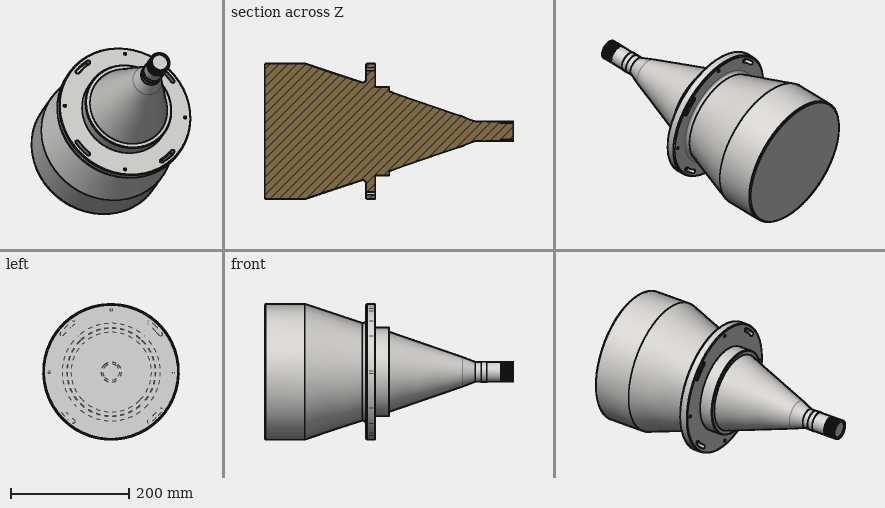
import cadquery as cq
import math


drum_diameter = 230.0
drum_radius = drum_diameter / 2
drum_length = 68.0
drum_chamfer = 2.0
neck_start = 164.5
neck_radius = 82.8
neck_fillet = 5.0

flange_front = 171.0
flange_thickness = 16.0
flange_back = flange_front + flange_thickness
flange_radius = drum_radius
flange_front_chamfer = 2.0
flange_back_chamfer = 1.3

spigot_radius = 75.0
spigot_end = 211.0
spigot_chamfer = 1.3

nozzle_radius = 67.5
nozzle_break = 334.0
nozzle_break_radius = 25.0

tail_start = 356.0
tail_radius = 17.0
tail_end = 420.0
band_start = 366.0
band_end = 375.0
band_height = 0.5

groove_start = 399.0
groove_count = 7
groove_width = 1.5
groove_pitch = 2 * groove_width
groove_depth = 3.0

bolt_circle_radius = 105.0
slot_count = 4
slot_width = 6.5
slot_sweep = 15.0
slot_first_angle = 45.0
pin_count = 4
pin_diameter = 4.0


def turned_body():
    """Revolve the half outline of the body about the X axis."""
    fillet_start = flange_front - neck_fillet
    fillet_top = neck_radius + neck_fillet
    fillet_mid = (
        fillet_start + neck_fillet * math.sin(math.pi / 4),
        fillet_top - neck_fillet * math.cos(math.pi / 4),
    )
    band_radius = tail_radius + band_height
    outline = (
        cq.Workplane("XZ")
        .moveTo(0, 0)
        .lineTo(0, drum_radius - drum_chamfer)
        .lineTo(drum_chamfer, drum_radius)
        .lineTo(drum_length, drum_radius)
        .lineTo(neck_start, neck_radius)
        .lineTo(fillet_start, neck_radius)
        .threePointArc(fillet_mid, (flange_front, fillet_top))
        .lineTo(flange_front, flange_radius - flange_front_chamfer)
        .lineTo(flange_front + flange_front_chamfer, flange_radius)
        .lineTo(flange_back - flange_back_chamfer, flange_radius)
        .lineTo(flange_back, flange_radius - flange_back_chamfer)
        .lineTo(flange_back, spigot_radius)
        .lineTo(spigot_end - spigot_chamfer, spigot_radius)
        .lineTo(spigot_end, spigot_radius - spigot_chamfer)
        .lineTo(spigot_end, nozzle_radius)
        .lineTo(nozzle_break, nozzle_break_radius)
        .lineTo(tail_start, tail_radius)
        .lineTo(band_start, tail_radius)
        .lineTo(band_start, band_radius)
        .lineTo(band_end, band_radius)
        .lineTo(band_end, tail_radius)
        .lineTo(tail_end, tail_radius)
        .lineTo(tail_end, 0)
        .close()
    )
    return outline.revolve(360, (0, 0, 0), (1, 0, 0))


def tail_grooves():
    """Rings to cut from the tail."""
    grooves = cq.Workplane("YZ")
    for index in range(groove_count):
        ring = (
            cq.Workplane("YZ", origin=(groove_start + index * groove_pitch, 0, 0))
            .circle(tail_radius + groove_depth)
            .circle(tail_radius - groove_depth)
            .extrude(groove_width)
        )
        grooves = grooves.add(ring)
    return grooves.combine()


def on_circle(radius, angle):
    """Point in the flange plane, the angle in degrees from +Y towards +Z."""
    return (radius * math.cos(math.radians(angle)), radius * math.sin(math.radians(angle)))


def curved_slot(mid_angle):
    """Round-ended slot through the flange that follows the bolt circle."""
    start_angle = mid_angle - slot_sweep / 2
    end_angle = mid_angle + slot_sweep / 2
    inner = bolt_circle_radius - slot_width / 2
    outer = bolt_circle_radius + slot_width / 2
    end_bulge = math.degrees(slot_width / 2 / bolt_circle_radius)
    return (
        cq.Workplane("YZ", origin=(flange_front, 0, 0))
        .moveTo(*on_circle(outer, start_angle))
        .threePointArc(on_circle(outer, mid_angle), on_circle(outer, end_angle))
        .threePointArc(
            on_circle(bolt_circle_radius, end_angle + end_bulge),
            on_circle(inner, end_angle),
        )
        .threePointArc(on_circle(inner, mid_angle), on_circle(inner, start_angle))
        .threePointArc(
            on_circle(bolt_circle_radius, start_angle - end_bulge),
            on_circle(outer, start_angle),
        )
        .close()
        .extrude(flange_thickness)
    )


def pin_holes():
    """Small through holes on the bolt circle, midway between the slots."""
    return (
        cq.Workplane("YZ", origin=(flange_front, 0, 0))
        .polarArray(bolt_circle_radius, 0, 360, pin_count)
        .circle(pin_diameter / 2)
        .extrude(flange_thickness)
    )


result = turned_body().cut(tail_grooves()).cut(pin_holes())
for slot_index in range(slot_count):
    result = result.cut(curved_slot(slot_first_angle + slot_index * 360 / slot_count))